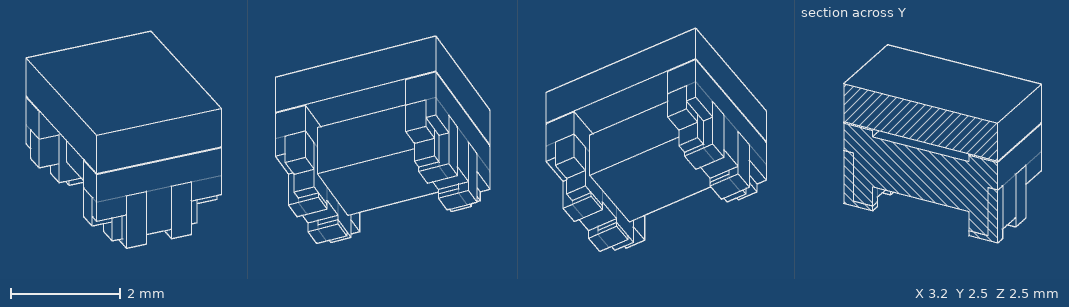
import cadquery as cq

length = 3.2
width = 2.5
height = 2.5

plate_thickness = 0.8
plate_gap = 0.02

flange_length = 0.6
flange_bottom = 1.1
barrel_width = 1.4
barrel_bottom = 0.5
barrel_top = 1.55

terminal_width = 0.4
terminal_spacing = 0.5
terminal_thickness = 0.2
foot_thickness = 0.1

wing_bottom = 0.7
web_bottom = 0.2

tab_width = 0.4
tab_bottom = barrel_bottom

flange_top = height - plate_thickness - plate_gap
end_x = length / 2
terminal_back_x = end_x - terminal_thickness
flange_inner_x = end_x - flange_length
side_y = width / 2
terminal_inner_y = terminal_spacing / 2
terminal_outer_y = terminal_inner_y + terminal_width
tab_inner_y = side_y - tab_width

SIDES = (-1, 1)
CORNERS = [(x_sign, y_sign) for x_sign in SIDES for y_sign in SIDES]


def block(x_range, y_range, z_range):
    """Box between opposite limits on each axis; either limit may come first."""
    sizes = [abs(b - a) for a, b in (x_range, y_range, z_range)]
    middles = [(a + b) / 2 for a, b in (x_range, y_range, z_range)]
    return cq.Workplane("XY").box(*sizes).translate(tuple(middles))


def corner_block(corner, x_range, y_range, z_range):
    """Block given for the +X +Y corner, mirrored into the named corner."""
    x_sign, y_sign = corner
    return block(
        [x_sign * x for x in x_range],
        [y_sign * y for y in y_range],
        z_range,
    )


def join(base, *additions):
    """Join blocks into one solid, keeping the seam lines on flush faces."""
    for addition in additions:
        base = base.union(addition, clean=False)
    return base.solids()


def make_plate():
    return block((-end_x, end_x), (-side_y, side_y), (height - plate_thickness, height))


def make_core_end(x_sign):
    """Flange with the web that fills the space between its two terminals."""
    x_range = (x_sign * flange_inner_x, x_sign * end_x)
    flange = block(x_range, (-side_y, side_y), (flange_bottom, flange_top))
    web = block(x_range, (-terminal_inner_y, terminal_inner_y), (web_bottom, flange_bottom))
    return join(flange, web)


def make_pedestal(corner):
    """Post behind one terminal, resting on the terminal's foot."""
    return corner_block(
        corner,
        (flange_inner_x, terminal_back_x),
        (terminal_inner_y, tab_inner_y),
        (foot_thickness, flange_bottom),
    )


def make_wing(corner):
    """Thin end wall from one terminal out to the side of the flange."""
    return corner_block(
        corner,
        (terminal_back_x, end_x),
        (terminal_outer_y, side_y),
        (wing_bottom, flange_bottom),
    )


def make_core():
    barrel = block(
        (-flange_inner_x, flange_inner_x),
        (-barrel_width / 2, barrel_width / 2),
        (barrel_bottom, barrel_top),
    )
    ends = [make_core_end(x_sign) for x_sign in SIDES]
    pedestals = [make_pedestal(corner) for corner in CORNERS]
    wings = [make_wing(corner) for corner in CORNERS]
    return join(barrel, *ends, *pedestals, *wings)


def make_terminal(corner):
    """Upright on the end face with a flat foot turned in under the pedestal."""
    y_range = (terminal_inner_y, terminal_outer_y)
    upright = corner_block(corner, (terminal_back_x, end_x), y_range, (0, flange_bottom))
    foot = corner_block(corner, (flange_inner_x, terminal_back_x), y_range, (0, foot_thickness))
    return join(upright, foot)


def make_side_tab(corner):
    """Tab filling the corner between wing, pedestal and flange."""
    return corner_block(
        corner,
        (flange_inner_x, terminal_back_x),
        (tab_inner_y, side_y),
        (tab_bottom, flange_bottom),
    )


plate = make_plate()
core = make_core()
terminals = [make_terminal(corner) for corner in CORNERS]
side_tabs = [make_side_tab(corner) for corner in CORNERS]

result = cq.Compound.makeCompound([
    plate.val(),
    core.val(),
    *[terminal.val() for terminal in terminals],
    *[tab.val() for tab in side_tabs],
])